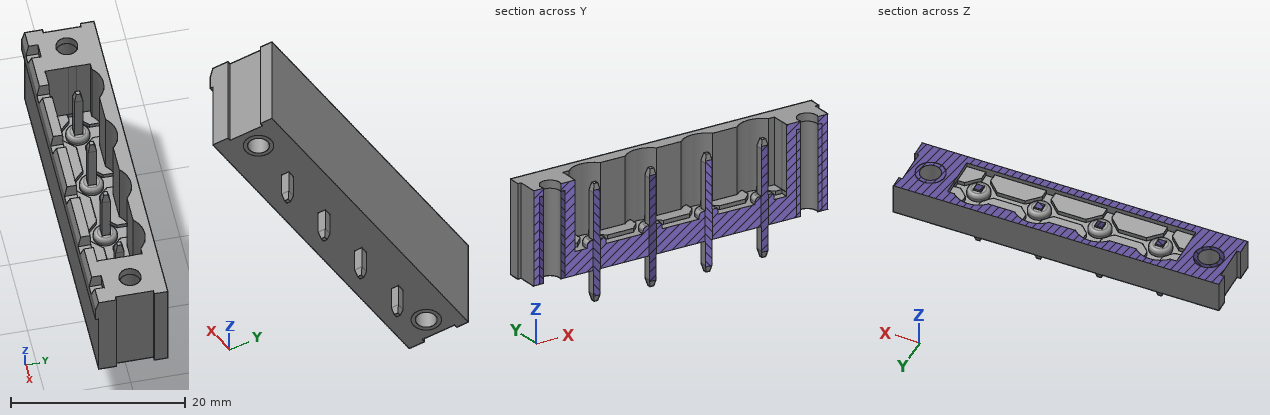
import cadquery as cq


LENGTH = 41.05
HEIGHT = 12.05
BACK_Y = 3.8
FRONT_Y = -4.3

LIP_DEPTH = 0.35
LIP_HEIGHT = 2.95
LIP_CHAMFER_HEIGHT = 1.25
LIP_Y = FRONT_Y - LIP_DEPTH

PIN_COUNT = 4
PIN_PITCH = 7.65
PIN_XS = [(i - (PIN_COUNT - 1) / 2) * PIN_PITCH for i in range(PIN_COUNT)]

PIN_WIDTH = 1.0
PIN_TIP_WIDTH = 0.5
PIN_TAPER = 1.0
PIN_BOTTOM_Z = -4.0
PIN_TOP_Z = 10.85

CAVITY_LENGTH = 28.82
CAVITY_BACK_Y = 2.1
CAVITY_FRONT_Y = -3.2
CAVITY_DEPTH = 8.5
FLOOR_Z = HEIGHT - CAVITY_DEPTH
SCALLOP_RADIUS = 3.0

CHANNEL_DEPTH = 0.5
CHANNEL_Z = FLOOR_Z - CHANNEL_DEPTH
CROSS_CHANNEL_BACK_Y = 0.5
CROSS_CHANNEL_FRONT_Y = -0.57
BACK_CHANNEL_WIDTH = 1.97
FRONT_CHANNEL_WIDTH = 1.1
POCKET_HALF_WIDTH = 2.05

BOSS_DIAMETER = 2.8
BOSS_HEIGHT = 0.82
BOSS_ROUNDING = 0.5

NOTCH_TOP_WIDTH = 1.8
NOTCH_BOTTOM_WIDTH = 1.1

FLANGE_X = 17.55
FLANGE_XS = [-FLANGE_X, FLANGE_X]
FLANGE_HOLE_DIAMETER = 2.5
END_RECESS_DEPTH = 0.45
END_RECESS_WIDTH = 4.45

SLEEVE_DIAMETER = 3.5
SLEEVE_TOP_Z = HEIGHT - 1.03


def box_between(x_min, x_max, y_min, y_max, z_min, z_max):
    size = (x_max - x_min, y_max - y_min, z_max - z_min)
    return cq.Workplane("XY").box(*size, centered=False).translate((x_min, y_min, z_min))


def make_block():
    """Housing block, extruded along X from its end profile with the lip."""
    profile = [
        (BACK_Y, 0),
        (BACK_Y, HEIGHT),
        (FRONT_Y, HEIGHT),
        (LIP_Y, HEIGHT - LIP_CHAMFER_HEIGHT),
        (LIP_Y, HEIGHT - LIP_HEIGHT),
        (FRONT_Y, HEIGHT - LIP_HEIGHT),
        (FRONT_Y, 0),
    ]
    return cq.Workplane("YZ").polyline(profile).close().extrude(LENGTH / 2, both=True)


def make_end_recesses():
    """Shallow full-height grooves, one in each end face."""
    return (
        cq.Workplane("XY")
        .pushPoints([(-LENGTH / 2, 0), (LENGTH / 2, 0)])
        .rect(2 * END_RECESS_DEPTH, END_RECESS_WIDTH)
        .extrude(HEIGHT)
    )


def make_cavity(bottom_z):
    """Cavity volume from bottom_z to the top: a box with a round scallop behind every pin."""
    half_length = CAVITY_LENGTH / 2
    cavity = box_between(
        -half_length, half_length, CAVITY_FRONT_Y, CAVITY_BACK_Y, bottom_z, HEIGHT
    )
    scallops = (
        cq.Workplane("XY", origin=(0, 0, bottom_z))
        .pushPoints([(x, 0) for x in PIN_XS])
        .circle(SCALLOP_RADIUS)
        .extrude(HEIGHT - bottom_z)
    )
    return cavity.union(scallops)


def make_channels():
    """Floor channels: one along the row, and a front-to-back one with a wide pocket at every pin."""
    half_length = CAVITY_LENGTH / 2
    channels = box_between(
        -half_length, half_length, CROSS_CHANNEL_FRONT_Y, CROSS_CHANNEL_BACK_Y, CHANNEL_Z, FLOOR_Z
    )
    back_half = BACK_CHANNEL_WIDTH / 2
    front_half = FRONT_CHANNEL_WIDTH / 2
    pocket_back_y = CROSS_CHANNEL_BACK_Y + POCKET_HALF_WIDTH - back_half
    pocket_front_y = CROSS_CHANNEL_FRONT_Y - POCKET_HALF_WIDTH + front_half
    right_side = [
        (back_half, SCALLOP_RADIUS),
        (back_half, pocket_back_y),
        (POCKET_HALF_WIDTH, CROSS_CHANNEL_BACK_Y),
        (POCKET_HALF_WIDTH, CROSS_CHANNEL_FRONT_Y),
        (front_half, pocket_front_y),
        (front_half, CAVITY_FRONT_Y),
    ]
    left_side = [(-x, y) for x, y in reversed(right_side)]
    outline = cq.Workplane("XY", origin=(0, 0, CHANNEL_Z)).polyline(right_side + left_side).close()
    pin_channel = outline.extrude(CHANNEL_DEPTH)
    for x in PIN_XS:
        channels = channels.union(pin_channel.translate((x, 0, 0)))
    return channels.intersect(make_cavity(CHANNEL_Z))


def make_boss(x):
    """Boss with a rounded rim, standing in the channel around one pin."""
    return (
        cq.Workplane("XY", origin=(x, 0, CHANNEL_Z))
        .circle(BOSS_DIAMETER / 2)
        .extrude(BOSS_HEIGHT)
        .faces(">Z")
        .edges()
        .fillet(BOSS_ROUNDING)
    )


def make_notch(x):
    """Tapered notch through the front wall, as deep as the lip chamfer."""
    bottom_z = HEIGHT - LIP_CHAMFER_HEIGHT
    profile = [
        (x - NOTCH_TOP_WIDTH / 2, HEIGHT),
        (x + NOTCH_TOP_WIDTH / 2, HEIGHT),
        (x + NOTCH_BOTTOM_WIDTH / 2, bottom_z),
        (x - NOTCH_BOTTOM_WIDTH / 2, bottom_z),
    ]
    plane = cq.Workplane("XZ", origin=(0, CAVITY_FRONT_Y, 0))
    return plane.polyline(profile).close().extrude(CAVITY_FRONT_Y - LIP_Y)


def make_housing():
    housing = make_block().cut(make_end_recesses())
    housing = housing.cut(make_cavity(FLOOR_Z)).cut(make_channels())
    for x in FLANGE_XS + PIN_XS:
        housing = housing.cut(make_notch(x))
    for x in PIN_XS:
        housing = housing.union(make_boss(x))
        housing = housing.cut(make_pin(x))
    for x in FLANGE_XS:
        flange_hole = cq.Workplane("XY").center(x, 0).circle(FLANGE_HOLE_DIAMETER / 2).extrude(HEIGHT)
        sleeve_seat = cq.Workplane("XY").center(x, 0).circle(SLEEVE_DIAMETER / 2).extrude(SLEEVE_TOP_Z)
        housing = housing.cut(flange_hole).cut(sleeve_seat)
    return housing.solids()


def make_pin_tip(x, shoulder_z, tip_z):
    """Truncated pyramid from a full-width shoulder to a narrow tip."""
    return (
        cq.Workplane("XY", origin=(x, 0, shoulder_z))
        .rect(PIN_WIDTH, PIN_WIDTH)
        .workplane(offset=tip_z - shoulder_z)
        .rect(PIN_TIP_WIDTH, PIN_TIP_WIDTH)
        .loft(ruled=True)
    )


def make_pin(x):
    """Square contact pin, tapered at both ends."""
    lower_shoulder_z = PIN_BOTTOM_Z + PIN_TAPER
    upper_shoulder_z = PIN_TOP_Z - PIN_TAPER
    half = PIN_WIDTH / 2
    shank = box_between(x - half, x + half, -half, half, lower_shoulder_z, upper_shoulder_z)
    lower_tip = make_pin_tip(x, lower_shoulder_z, PIN_BOTTOM_Z)
    upper_tip = make_pin_tip(x, upper_shoulder_z, PIN_TOP_Z)
    return shank.union(lower_tip).union(upper_tip).solids()


def make_sleeve(x):
    """Round sleeve whose bore continues the flange hole down to the underside."""
    return (
        cq.Workplane("XY")
        .center(x, 0)
        .circle(SLEEVE_DIAMETER / 2)
        .circle(FLANGE_HOLE_DIAMETER / 2)
        .extrude(SLEEVE_TOP_Z)
    )


housing = make_housing()
pins = [make_pin(x).val() for x in PIN_XS]
sleeves = [make_sleeve(x).val() for x in FLANGE_XS]

result = cq.Compound.makeCompound([housing.val(), *pins, *sleeves])